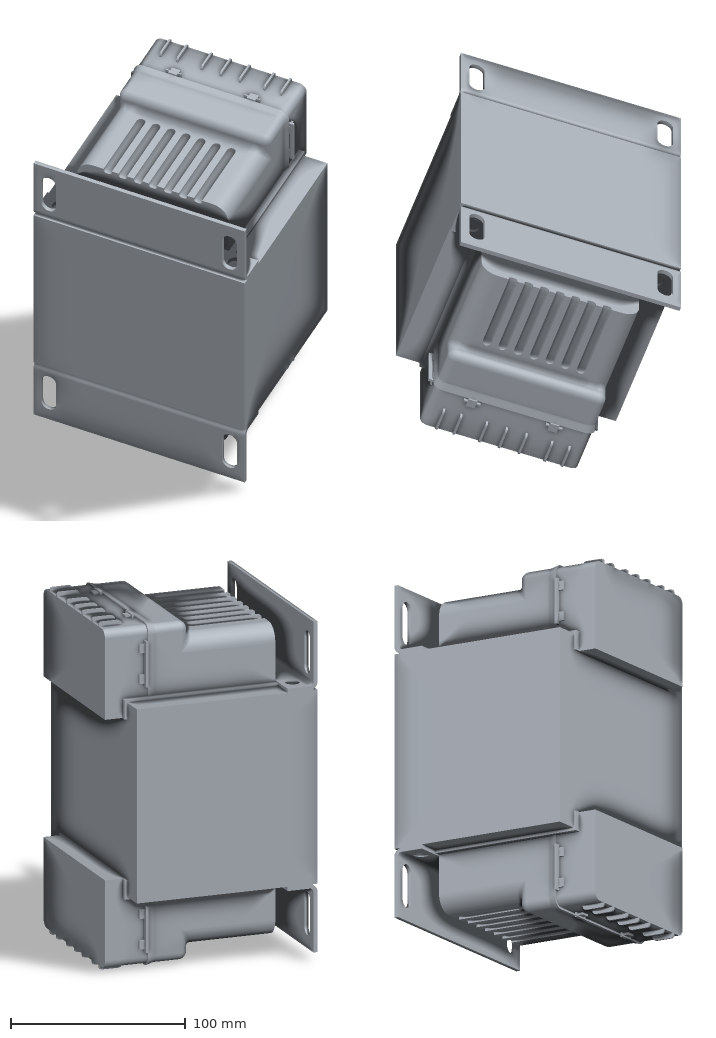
import cadquery as cq
import math


core_width = 133.5
core_depth = 110.9
core_half_height = 57.7
core_split = 89.2

sheet = 2.5
bend_inner = 2.3
bracket_top = 98.5
seat_depth = 18.5
slot_x = 57.0
slot_z = 77.8
slot_width = 9.3
slot_length = 25.7
screw_x = 55.5
screw_y = 11.0
screw_diameter = 8.5
relief_half_width = 40.5
relief_depth = 6.2

cover_half_width = 47.8
cover_top = 100.7
cover_round = 4.8
flange_half_width = 51.7
flange_thickness = 1.7
flange_top = core_half_height + flange_thickness
parting = 97.0

hood_front = 71.8
low_top = 92.7
low_round = 10.1
step_round = 3.0
lip_length = 4.8
lip_rise = 1.2
groove_count = 7
groove_pitch = 9.5
groove_width = 5.2
groove_depth = 2.7
groove_bottom_round = 1.9
groove_end = 65.4

rear_end = 123.0
rear_bottom = cover_half_width
rib_positions = (-38.0, -27.5, -12.0, 0, 12.0, 27.5, 38.0)
rib_width = 1.2
rib_length = 14.0
rib_top = 103.5
rib_front_round = 2.5
rib_rear_round = 1.7
rib_root = 0.6

bar_start = parting + 0.8
bar_end = bar_start + 1.5
knob_length = 5.4
knob_rise = 1.5
knob_width = 5.4
top_latch_x = 24.8
top_bar_length = 10.1
top_bar_thickness = 0.8
top_bar_rise = 2.3
side_bar_length = 27.3
side_bar_rise = 3.5
side_latch_z = 79.0
side_knob_offset = 9.0


def block(x0, x1, y0, y1, z0, z1):
    """Box between the given limits."""
    return cq.Workplane("XY").box(x1 - x0, y1 - y0, z1 - z0, centered=False).translate((x0, y0, z0))


def mirrored(body):
    """The matching body at the lower end of the core."""
    return body.mirror("XY")


def arch(y, top, corner, half_width=cover_half_width):
    """Cover section at depth y: straight sides, flat top, rounded upper corners."""
    mid = corner * math.sqrt(0.5)
    inner = half_width - corner
    shoulder = top - corner
    return (
        cq.Workplane("XZ", origin=(0, y, 0))
        .moveTo(-half_width, core_half_height)
        .lineTo(-half_width, shoulder)
        .threePointArc((-inner - mid, shoulder + mid), (-inner, top))
        .lineTo(inner, top)
        .threePointArc((inner + mid, shoulder + mid), (half_width, shoulder))
        .lineTo(half_width, core_half_height)
        .close()
    )


def arch_block(y0, y1, top, corner):
    """Arch section extruded from y0 back to y1."""
    return arch(y0, top, corner).extrude(y0 - y1)


def make_core_front():
    return block(-core_width / 2, core_width / 2, 0, core_split, -core_half_height, core_half_height)


def make_core_rear():
    return block(-core_width / 2, core_width / 2, core_split, core_depth, -core_half_height, core_half_height)


def make_bracket():
    seat_top = core_half_height + sheet
    bend_outer = bend_inner + sheet
    bracket = (
        cq.Workplane("YZ", origin=(-core_width / 2, 0, 0))
        .moveTo(seat_depth, core_half_height)
        .lineTo(0, core_half_height)
        .lineTo(0, bracket_top)
        .lineTo(sheet, bracket_top)
        .lineTo(sheet, seat_top)
        .lineTo(seat_depth, seat_top)
        .close()
        .extrude(core_width)
    )
    bracket = bracket.edges(cq.selectors.NearestToPointSelector((0, 0, core_half_height))).fillet(bend_outer)
    bracket = bracket.edges(cq.selectors.NearestToPointSelector((0, sheet, seat_top))).fillet(bend_inner)
    slots = (
        cq.Workplane("XZ")
        .pushPoints([(-slot_x, slot_z), (slot_x, slot_z)])
        .slot2D(slot_length, slot_width, 90)
        .extrude(-sheet)
    )
    holes = (
        cq.Workplane("XY", origin=(0, 0, core_half_height))
        .pushPoints([(-screw_x, screw_y), (screw_x, screw_y)])
        .circle(screw_diameter / 2)
        .extrude(sheet)
    )
    relief_floor = relief_half_width - relief_depth
    relief = (
        cq.Workplane("XY", origin=(0, 0, core_half_height))
        .moveTo(-relief_half_width, seat_depth)
        .lineTo(-relief_floor, seat_depth - relief_depth)
        .lineTo(relief_floor, seat_depth - relief_depth)
        .lineTo(relief_half_width, seat_depth)
        .close()
        .extrude(sheet)
    )
    return bracket.cut(slots).cut(holes).cut(relief)


def make_hood():
    """Tall part of the front cover, rounded along the top, the sides and the front."""
    hood = block(-cover_half_width, cover_half_width, hood_front, parting, core_half_height, cover_top)
    return hood.faces("<Y").edges("not <Z").add(hood.faces(">Z").edges("|Y")).fillet(cover_round)


def make_groove(x):
    """Cooling groove with a rounded bottom, open at the front and round at its closed end."""
    length = groove_end - seat_depth + groove_width
    groove = (
        cq.Workplane("XY", origin=(x, groove_end - length / 2, low_top))
        .slot2D(length, groove_width, 90)
        .extrude(-groove_depth)
    )
    return groove.faces("<Z").edges().fillet(groove_bottom_round)


def make_lip():
    """Flared rim of the front cover that stands proud of the rear cover at the parting."""
    front_wire = arch(parting - lip_length, cover_top, cover_round).wires().val()
    rear_wire = arch(
        parting, cover_top + lip_rise, cover_round + lip_rise, cover_half_width + lip_rise
    ).wires().val()
    return cq.Workplane("XY").add(cq.Solid.makeLoft([front_wire, rear_wire], True))


def make_flange(y0, y1):
    """Flat foot of a cover on the end of the core."""
    return block(-flange_half_width, flange_half_width, y0, y1, core_half_height, flange_top)


def make_front_cover():
    cover = arch_block(seat_depth, parting, low_top, low_round).union(make_hood())
    step_edge = cq.selectors.NearestToPointSelector((0, hood_front, low_top))
    cover = cover.edges(step_edge).fillet(step_round)
    cover = cover.union(make_lip()).union(make_flange(seat_depth, parting))
    for index in range(groove_count):
        cover = cover.cut(make_groove((index - (groove_count - 1) / 2) * groove_pitch))
    return cover


def make_rib(x):
    """Rib on top of the rear cover, rounded at both ends."""
    rib = block(
        x - rib_width / 2, x + rib_width / 2, rear_end - rib_length, rear_end, cover_top - rib_root, rib_top
    )
    rib = rib.edges(">Z and |X and <Y").fillet(rib_front_round)
    return rib.edges(">Z and |X and >Y").fillet(rib_rear_round)


def make_top_latch(x):
    """Bar with one knob on the top of the rear cover."""
    base = cover_top - rib_root
    half_bar = top_bar_length / 2
    half_knob = knob_width / 2
    bar_top = cover_top + top_bar_rise
    knob_top = cover_top + knob_rise
    bar = block(x - half_bar, x + half_bar, bar_end - top_bar_thickness, bar_end, base, bar_top)
    stem = block(x - half_knob, x + half_knob, parting, bar_end, base, bar_top)
    knob = block(x - half_knob, x + half_knob, bar_end, parting + knob_length, base, knob_top)
    return bar.union(stem).union(knob)


def make_side_latch():
    """Bar with two knobs on the -X side of the rear cover."""
    half_bar = side_bar_length / 2
    half_knob = knob_width / 2
    latch = block(
        -cover_half_width - side_bar_rise,
        -cover_half_width,
        bar_start,
        bar_end,
        side_latch_z - half_bar,
        side_latch_z + half_bar,
    )
    for knob_z in (side_latch_z - side_knob_offset, side_latch_z + side_knob_offset):
        knob = block(
            -cover_half_width - knob_rise,
            -cover_half_width,
            parting,
            parting + knob_length,
            knob_z - half_knob,
            knob_z + half_knob,
        )
        latch = latch.union(knob)
    return latch


def make_rear_cover():
    cover = arch_block(parting, rear_end, cover_top, cover_round)
    cover = cover.union(make_flange(parting, core_depth))
    cover = cover.union(
        block(-cover_half_width, cover_half_width, core_depth, rear_end, rear_bottom, core_half_height)
    )
    cover = cover.union(
        block(
            -flange_half_width,
            flange_half_width,
            core_depth,
            core_depth + flange_thickness,
            rear_bottom,
            flange_top,
        )
    )
    for x in rib_positions:
        cover = cover.union(make_rib(x))
    for x in (-top_latch_x, top_latch_x):
        cover = cover.union(make_top_latch(x))
    side_latch = make_side_latch()
    return cover.union(side_latch).union(side_latch.mirror("YZ"))


bodies = [make_core_front(), make_core_rear()]
for end_body in (make_bracket(), make_front_cover(), make_rear_cover()):
    bodies += [end_body, mirrored(end_body)]
result = cq.Compound.makeCompound([body.val() for body in bodies])